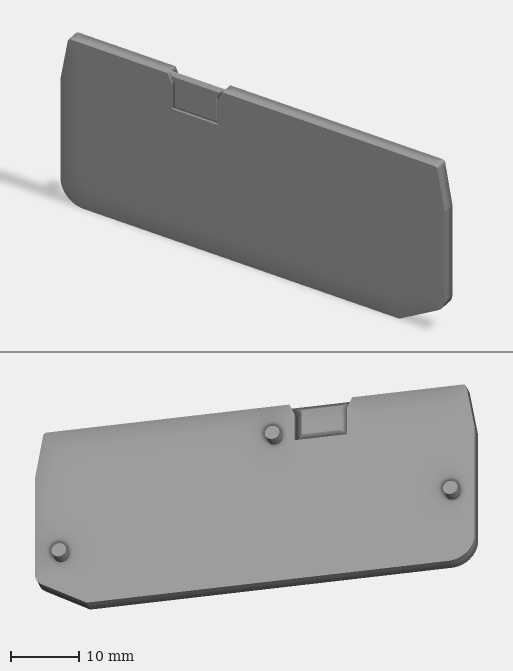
import cadquery as cq
import math

length = 66.5
height = 29.2
thickness = 2.2
half_length = length / 2

side_lean = 1.3
side_lean_height = 7.5
corner_bevel_angle = 30.0
corner_bevel_length = 7.85
lower_left_radius = 4.0
bevel_radius = 2.25
top_corner_radius = 0.5
side_knee_radius = 1.0

window_center_x = -10.0
window_half_width = 4.0
window_depth = 6.05
flare_height = 1.6
flare_angle = 25.0

panel_back_gap = 0.3
panel_front_gap = 0.1
panel_front_bevel = 0.4
panel_back_bevel = 1.0

pin_diameter = 2.2
pin_length = 1.8
pin_places = [(-30.0, 11.25), (-3.05, 23.9), (29.2, 8.4)]


def extrude_back(sketch, depth):
    """Extrude an XZ outline from its own plane toward +Y."""
    return sketch.extrude(-depth)


def make_plate():
    bevel_rise = corner_bevel_length * math.tan(math.radians(corner_bevel_angle))
    knee_z = height - side_lean_height
    outline = cq.Workplane("XZ").polyline([
        (-half_length, 0),
        (half_length - corner_bevel_length, 0),
        (half_length, bevel_rise),
        (half_length, knee_z),
        (half_length - side_lean, height),
        (side_lean - half_length, height),
        (-half_length, knee_z),
    ]).close()
    plate = extrude_back(outline, thickness)

    def round_corner(body, x, z, radius):
        corner = cq.selectors.NearestToPointSelector((x, thickness / 2, z))
        return body.edges("|Y").edges(corner).fillet(radius)

    plate = round_corner(plate, -half_length, 0, lower_left_radius)
    plate = round_corner(plate, half_length, bevel_rise, bevel_radius)
    for side in (-1, 1):
        plate = round_corner(plate, side * (half_length - side_lean), height, top_corner_radius)
        plate = round_corner(plate, side * half_length, knee_z, side_knee_radius)
    return plate


def window_outline(front_y):
    """Window shape: straight sides that flare out toward the top edge."""
    bottom_z = height - window_depth
    flare_start_z = height - flare_height
    mouth_half_width = window_half_width + flare_height * math.tan(math.radians(flare_angle))
    return (
        cq.Workplane("XZ", origin=(window_center_x, front_y, 0))
        .polyline([
            (-window_half_width, bottom_z),
            (window_half_width, bottom_z),
            (window_half_width, flare_start_z),
            (mouth_half_width, height),
            (-mouth_half_width, height),
            (-window_half_width, flare_start_z),
        ])
        .close()
    )


def make_panel():
    panel_thickness = thickness - panel_front_gap - panel_back_gap
    panel = extrude_back(window_outline(panel_front_gap), panel_thickness)
    panel = panel.faces("<Y").edges().chamfer(panel_front_bevel)
    return panel.faces(">Y").edges().chamfer(panel_back_bevel)


def make_pins():
    pins = cq.Workplane("XZ", origin=(0, thickness, 0)).pushPoints(pin_places).circle(pin_diameter / 2)
    return extrude_back(pins, pin_length)


window = extrude_back(window_outline(0), thickness)
result = make_plate().cut(window).union(make_panel()).union(make_pins())